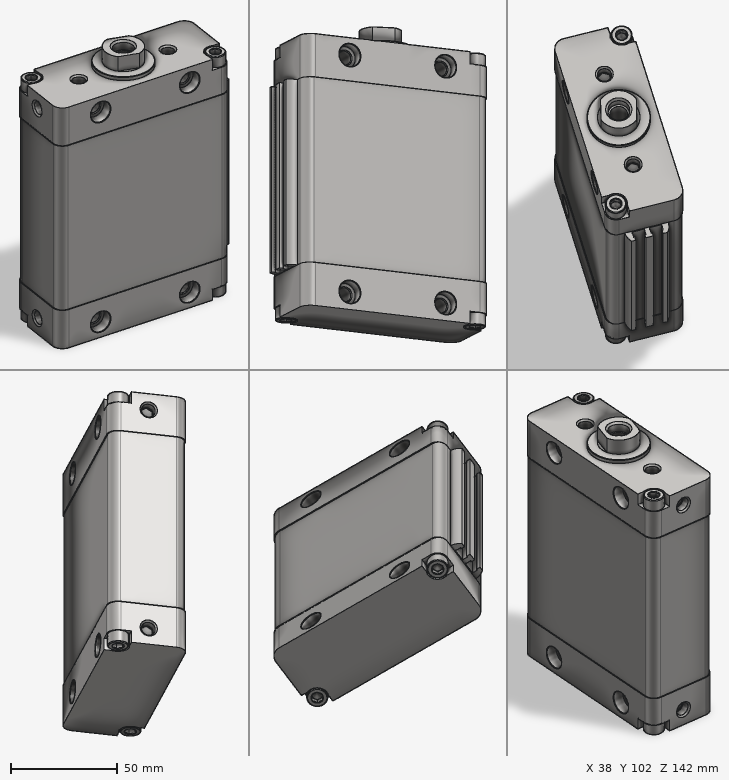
import cadquery as cq
import math

cap_width = 38.0
cap_depth = 96.8
corner_radius = 5.5
cap_height = 21.0
block_height = 132.0
total_height = 142.0
total_depth = 102.0

barrel_inset = 0.5
barrel_height = block_height - 2 * cap_height

rail_projection = total_depth - cap_depth
rail_floor = 0.4
rail_head_height = 2.0
rail_half_width = 10.8
rail_top_half_width = 8.8
rail_bulge = 0.4
web_half_width = 1.3
lip_overhang = 0.5
slot_outer_wall = 7.2

collar_diameter = 30.0
collar_height = 2.0
collar_chamfer = 0.3
rod_diameter = 20.0
rod_across_flats = 16.9
rod_flat_angle = -15.0
rod_bore_diameter = 8.4
rod_thread_diameter = 10.4
rod_mouth_diameter = 12.4
rod_thread_depth = 5.0
rod_bore_depth = 21.3
drill_point_angle = 118.0

hole_end_distance = 8.5
hole_spacing = 50.0
mounting_diameter = 6.7
mounting_mouth = 7.7
counterbore_diameter = 11.0
counterbore_mouth = 11.5
counterbore_depth = 5.7
port_diameter = mounting_diameter
port_mouth = 8.4
port_depth = 4.5
port_hexagon_corners = 6.5
port_hexagon_depth = 5.0

head_inset = corner_radius
head_diameter = 10.0
head_chamfer = 0.4
head_height = 6.0
notch_size = 10.6
notch_diameter = 11.0
socket_across_flats = 5.0
socket_mouth = 5.8
socket_depth = 2.8


def cone_height(start_diameter, end_diameter=0.0, angle=90.0):
    """Axial length of a cone with the given included angle between two diameters."""
    return (start_diameter - end_diameter) / 2 / math.tan(math.radians(angle / 2))


def axial_cutter(profile, origin, outward):
    """Revolve (radius, depth) points into a cutter that enters a face along -outward."""
    plane = cq.Plane(origin=origin, normal=outward)
    points = [(radius, -depth) for radius, depth in profile]
    cutter = cq.Workplane("XZ").polyline(points).close().revolve(360, (0, 0), (0, 1)).val()
    return cq.Workplane(cutter.moved(cq.Location(plane)))


def hexagon_cutter(corner_diameter, depth, origin, outward, corner_axis):
    """Hexagonal socket with two opposite corners on corner_axis."""
    plane = cq.Plane(origin=origin, xDir=corner_axis, normal=outward)
    return cq.Workplane(plane).polygon(6, corner_diameter).extrude(-depth)


def port_cutter(origin, outward, corner_axis):
    """Round port with a countersunk mouth and a hexagonal bottom."""
    mouth_depth = cone_height(port_mouth, port_diameter)
    profile = [
        (0, 0),
        (port_mouth / 2, 0),
        (port_diameter / 2, mouth_depth),
        (port_diameter / 2, port_depth),
        (0, port_depth),
    ]
    bore = axial_cutter(profile, origin, outward)
    bottom = hexagon_cutter(port_hexagon_corners, port_hexagon_depth, origin, outward, corner_axis)
    return bore.union(bottom)


def mounting_cutter(y, z):
    """Cross hole along X with a countersunk counterbore on both faces."""
    cutter = cq.Workplane("YZ").center(y, z).circle(mounting_diameter / 2).extrude(cap_width, both=True)
    mounting_taper_end = counterbore_depth + cone_height(mounting_mouth, mounting_diameter)
    mouth_depth = cone_height(counterbore_mouth, counterbore_diameter)
    profile = [
        (0, 0),
        (counterbore_mouth / 2, 0),
        (counterbore_diameter / 2, mouth_depth),
        (counterbore_diameter / 2, counterbore_depth),
        (mounting_mouth / 2, counterbore_depth),
        (mounting_diameter / 2, mounting_taper_end),
        (0, mounting_taper_end),
    ]
    for side in (-1, 1):
        cutter = cutter.union(axial_cutter(profile, (side * cap_width / 2, y, z), (side, 0, 0)))
    return cutter


def screw_center(side):
    """Screw axis in the (-X, -Y) corner for side -1 and in the (+X, +Y) corner for side 1."""
    return side * (cap_width / 2 - head_inset), side * (cap_depth / 2 - head_inset)


def corner_notch(side):
    """Recess around a screw head: a round pocket opened straight out to both side faces."""
    x, y = screw_center(side)
    corner_x = side * cap_width / 2
    corner_y = side * cap_depth / 2
    floor = cq.Workplane("XY", origin=(0, 0, block_height - head_height))
    pocket = floor.center(x, y).circle(notch_diameter / 2).extrude(head_height)
    across_x = floor.center(corner_x, corner_y).rect(2 * notch_size, 2 * head_inset).extrude(head_height)
    across_y = floor.center(corner_x, corner_y).rect(2 * head_inset, 2 * notch_size).extrude(head_height)
    return pocket.union(across_x).union(across_y)


def screw_head(side):
    """Hexagon-socket screw head standing in a corner notch."""
    x, y = screw_center(side)
    head = (
        cq.Workplane("XY", origin=(x, y, block_height - head_height))
        .circle(head_diameter / 2)
        .extrude(head_height)
        .faces(">Z")
        .chamfer(head_chamfer)
    )
    top_center = (x, y, block_height)
    upward = (0, 0, 1)
    corner_diameter = socket_across_flats / math.cos(math.pi / 6)
    socket = hexagon_cutter(corner_diameter, socket_depth, top_center, upward, (0, 1, 0))
    mouth_depth = cone_height(socket_mouth, socket_across_flats)
    profile = [
        (0, 0),
        (socket_mouth / 2, 0),
        (socket_across_flats / 2, mouth_depth),
        (socket_across_flats / 2, socket_depth),
        (0, socket_depth + cone_height(socket_across_flats, angle=drill_point_angle)),
    ]
    drill = axial_cutter(profile, top_center, upward)
    return head.cut(socket).cut(drill)


def make_plain_cap():
    """End cap in the top position, before the collar and end-face ports are added."""
    cap_bottom = block_height - cap_height
    cap = (
        cq.Workplane("XY", origin=(0, 0, cap_bottom))
        .rect(cap_width, cap_depth)
        .extrude(cap_height)
        .edges("|Z")
        .fillet(corner_radius)
    )
    hole_z = block_height - hole_end_distance
    for y in (-hole_spacing / 2, hole_spacing / 2):
        cap = cap.cut(mounting_cutter(y, hole_z))
    cap = cap.cut(port_cutter((0, -cap_depth / 2, hole_z), (0, -1, 0), (0, 0, 1)))
    for side in (-1, 1):
        cap = cap.cut(corner_notch(side)).union(screw_head(side))
    return cap


def make_top_cap():
    """Cap with the rod collar, the rod hole and two end-face ports."""
    collar = (
        cq.Workplane("XY", origin=(0, 0, block_height))
        .circle(collar_diameter / 2)
        .extrude(collar_height)
        .faces(">Z")
        .chamfer(collar_chamfer)
    )
    rod_hole = (
        cq.Workplane("XY", origin=(0, 0, block_height - cap_height))
        .circle(rod_diameter / 2)
        .extrude(cap_height + collar_height)
    )
    cap = make_plain_cap().union(collar).cut(rod_hole)
    for y in (-hole_spacing / 2, hole_spacing / 2):
        cap = cap.cut(port_cutter((0, y, block_height), (0, 0, 1), (0, 1, 0)))
    return cap


def make_bottom_cap():
    """Plain cap mirrored to the bottom end of the block."""
    return make_plain_cap().mirror("XY", (0, 0, block_height / 2))


def rail_slot(side):
    """T-slot between the rail's middle web and one outer wall."""
    floor_y = cap_depth / 2 + rail_floor
    top_y = cap_depth / 2 + rail_projection
    lip_y = top_y - rail_head_height
    outline = [
        (web_half_width, floor_y),
        (slot_outer_wall, floor_y),
        (slot_outer_wall, lip_y),
        (slot_outer_wall - lip_overhang, lip_y),
        (slot_outer_wall - lip_overhang, top_y),
        (web_half_width + lip_overhang, top_y),
        (web_half_width + lip_overhang, lip_y),
        (web_half_width, lip_y),
    ]
    points = [(side * x, y) for x, y in outline]
    return cq.Workplane("XY", origin=(0, 0, cap_height)).polyline(points).close().extrude(barrel_height)


def sensor_rail():
    """Rail with curved flanks and two T-slots along the +Y face."""
    base_y = cap_depth / 2
    top_y = base_y + rail_projection
    mid_x = (rail_half_width + rail_top_half_width) / 2 + rail_bulge
    mid_y = (base_y + top_y) / 2
    rail = (
        cq.Workplane("XY", origin=(0, 0, cap_height))
        .moveTo(-rail_half_width, base_y)
        .threePointArc((-mid_x, mid_y), (-rail_top_half_width, top_y))
        .lineTo(rail_top_half_width, top_y)
        .threePointArc((mid_x, mid_y), (rail_half_width, base_y))
        .close()
        .extrude(barrel_height)
    )
    for side in (-1, 1):
        rail = rail.cut(rail_slot(side))
    return rail


def make_barrel():
    """Barrel body, flush with the caps on +Y where it carries the sensor rail."""
    body = (
        cq.Workplane("XY", origin=(0, barrel_inset / 2, cap_height))
        .rect(cap_width - 2 * barrel_inset, cap_depth - barrel_inset)
        .extrude(barrel_height)
        .edges("|Z")
        .fillet(corner_radius - barrel_inset)
    )
    return body.union(sensor_rail())


def rod_bore():
    """Threaded bore with a countersunk mouth, a narrower core and a drill point."""
    mouth_depth = cone_height(rod_mouth_diameter, rod_thread_diameter)
    core_end = rod_bore_depth - cone_height(rod_bore_diameter, angle=drill_point_angle)
    profile = [
        (0, 0),
        (rod_mouth_diameter / 2, 0),
        (rod_thread_diameter / 2, mouth_depth),
        (rod_thread_diameter / 2, rod_thread_depth),
        (rod_bore_diameter / 2, rod_thread_depth),
        (rod_bore_diameter / 2, core_end),
        (0, rod_bore_depth),
    ]
    return axial_cutter(profile, (0, 0, total_height), (0, 0, 1))


def make_rod():
    """Piston rod in the top cap, with two wrench flats above the collar."""
    rod_bottom = block_height - cap_height
    flats_bottom = block_height + collar_height
    shank_length = flats_bottom - rod_bottom
    flats_length = total_height - flats_bottom
    shank = cq.Workplane("XY", origin=(0, 0, rod_bottom)).circle(rod_diameter / 2).extrude(shank_length)
    head = cq.Workplane("XY", origin=(0, 0, flats_bottom)).circle(rod_diameter / 2).extrude(flats_length)
    flats = (
        cq.Workplane("XY", origin=(0, 0, flats_bottom))
        .transformed(rotate=(0, 0, rod_flat_angle))
        .rect(rod_across_flats, 2 * rod_diameter)
        .extrude(flats_length)
    )
    return shank.union(head.intersect(flats)).cut(rod_bore())


bottom_cap = make_bottom_cap()
barrel = make_barrel()
top_cap = make_top_cap()
rod = make_rod()
result = cq.Compound.makeCompound([bottom_cap.val(), barrel.val(), top_cap.val(), rod.val()])